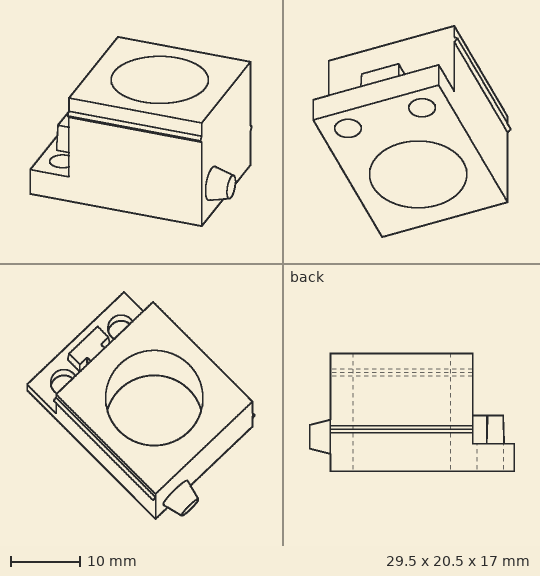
import cadquery as cq

total_length = 29.5
body_width = 19.5
body_height = 17.0
peg_length = 3.0
block_length = 20.5
base_length = total_length - peg_length
flange_length = base_length - block_length
flange_height = 4.0

bore_diameter = 14.0
screw_hole_diameter = 3.8
screw_hole_x = 3.5
side_offset = 5.75

key_start_x = 1.48
key_head_length = 2.5
key_head_width = 6.02
key_stem_width = 3.07
key_height = 4.07
key_draft_angle = 2.0
key_overlap = 1.0

peg_base_radius = 2.48
peg_tip_radius = 1.7
peg_height = 5.0

ridge_depth = 0.5
front_ridge_height = 14.3
back_ridge_height = 6.05


def make_body():
    """L-shaped body: low flange and tall block."""
    return (
        cq.Workplane("XZ", origin=(0, body_width / 2, 0))
        .polyline([
            (0, 0),
            (base_length, 0),
            (base_length, body_height),
            (flange_length, body_height),
            (flange_length, flange_height),
            (0, flange_height),
        ])
        .close()
        .extrude(body_width)
    )


def make_key():
    """Drafted T with its head towards the free end and its stem running into the block."""
    head_end_x = key_start_x + key_head_length
    stem_end_x = flange_length + key_overlap
    half_head = key_head_width / 2
    half_stem = key_stem_width / 2
    return (
        cq.Workplane("XY", origin=(0, 0, flange_height))
        .polyline([
            (key_start_x, -half_head),
            (head_end_x, -half_head),
            (head_end_x, -half_stem),
            (stem_end_x, -half_stem),
            (stem_end_x, half_stem),
            (head_end_x, half_stem),
            (head_end_x, half_head),
            (key_start_x, half_head),
        ])
        .close()
        .extrude(key_height, taper=key_draft_angle)
    )


def make_ridge(side, height):
    """Ridge of 45 degree flanks; side is -1 for the -Y face and +1 for the +Y face."""
    face_y = side * body_width / 2
    return (
        cq.Workplane("YZ", origin=(flange_length, 0, 0))
        .polyline([
            (face_y, height - ridge_depth),
            (face_y + side * ridge_depth, height),
            (face_y, height + ridge_depth),
        ])
        .close()
        .extrude(block_length)
    )


def make_peg():
    """Truncated cone pointing along +X."""
    return cq.Workplane(
        cq.Solid.makeCone(
            peg_base_radius,
            peg_tip_radius,
            peg_length,
            pnt=cq.Vector(base_length, -side_offset, peg_height),
            dir=cq.Vector(1, 0, 0),
        )
    )


def make_holes():
    """Vertical bore through the block and two screw holes through the flange."""
    bore = (
        cq.Workplane("XY")
        .center(flange_length + block_length / 2, 0)
        .circle(bore_diameter / 2)
        .extrude(body_height)
    )
    screw_holes = (
        cq.Workplane("XY")
        .pushPoints([(screw_hole_x, -side_offset), (screw_hole_x, side_offset)])
        .circle(screw_hole_diameter / 2)
        .extrude(flange_height)
    )
    return bore.union(screw_holes)


result = (
    make_body()
    .union(make_key())
    .union(make_ridge(-1, front_ridge_height))
    .union(make_ridge(1, back_ridge_height))
    .union(make_peg())
    .cut(make_holes())
)